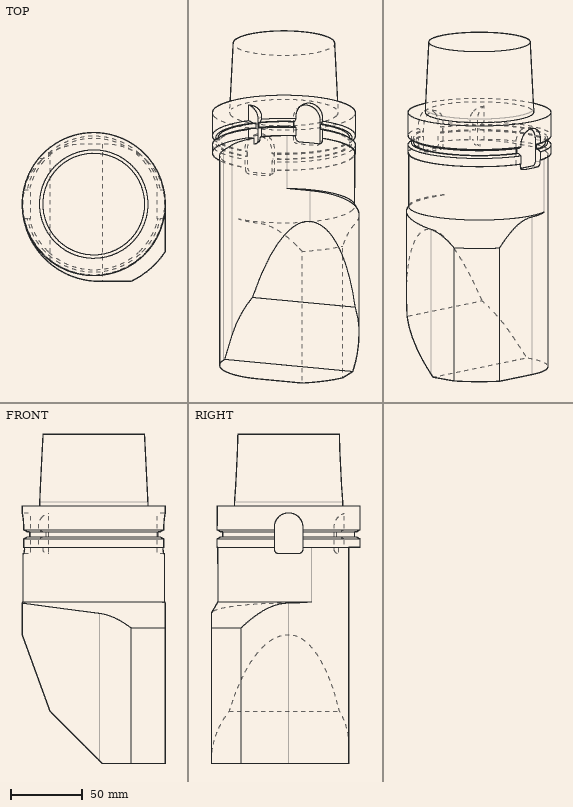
import cadquery as cq
import math


shank_length = 50.0
shank_dia = 75.75
shank_band = 2.6
taper_ratio = 1 / 10
shank_top_dia = shank_dia - taper_ratio * (shank_length - shank_band)

flange_radius = 50.0
flange_height = 29.0
groove_z = -19.9
groove_root_radius = 46.0
groove_root_height = 3.6
groove_lip = 1.4
groove_flank_angle = 30.0

pocket_width = 20.0
pocket_top_z = -4.9
pocket_bottom_z = -33.3
pocket_corner_radius = 3.0
pocket_floor_x = 44.0
notch_floor_x = 31.7
notch_near_y = 31.7

body_bottom_z = -180.0
neck_radius = 49.5
neck_bottom_z = -67.0
shoulder_angle = 30.0
body_max_radius = 60.0
body_half_width = 50.0
body_front = 54.0
body_back = 42.0

relief_start_z = -90.0
relief_ridge_z = -143.4
upper_relief_angle = 20.0
lower_relief_angle = 45.0

cut_margin = 20.0


def rise(run, angle):
    return run * math.tan(math.radians(angle))


def make_shank():
    """Straight band topped by a slender cone."""
    profile = [
        (0, 0),
        (shank_dia / 2, 0),
        (shank_dia / 2, shank_band),
        (shank_top_dia / 2, shank_length),
        (0, shank_length),
    ]
    return cq.Workplane("XZ").polyline(profile).close().revolve(360, (0, 0), (0, 1))


def make_flange():
    """Disc with a gripper groove that flares open at both edges."""
    root_top = groove_z + groove_root_height / 2
    root_bottom = groove_z - groove_root_height / 2
    lip_radius = flange_radius - groove_lip / math.tan(math.radians(groove_flank_angle))
    profile = [
        (0, 0),
        (flange_radius, 0),
        (flange_radius, root_top + groove_lip),
        (lip_radius, root_top),
        (groove_root_radius, root_top),
        (groove_root_radius, root_bottom),
        (lip_radius, root_bottom),
        (flange_radius, root_bottom - groove_lip),
        (flange_radius, -flange_height),
        (0, -flange_height),
    ]
    return cq.Workplane("XZ").polyline(profile).close().revolve(360, (0, 0), (0, 1))


def make_body_prism():
    """Plan outline: flat front and right sides, rounded left and back corners."""
    front_arc_center_x = body_front - body_half_width
    back_arc_center_x = body_half_width - body_back
    diagonal = math.sqrt(0.5)
    corner_x = math.sqrt(body_max_radius**2 - body_front**2)
    side_y = -math.sqrt(body_max_radius**2 - body_half_width**2)
    return (
        cq.Workplane("XY", origin=(0, 0, body_bottom_z))
        .moveTo(-body_half_width, 0)
        .threePointArc(
            (front_arc_center_x - body_front * diagonal, -body_front * diagonal),
            (front_arc_center_x, -body_front),
        )
        .lineTo(corner_x, -body_front)
        .threePointArc(
            (body_max_radius * diagonal, -body_max_radius * diagonal),
            (body_half_width, side_y),
        )
        .lineTo(body_half_width, 0)
        .threePointArc(
            (back_arc_center_x + body_back * diagonal, body_back * diagonal),
            (back_arc_center_x, body_back),
        )
        .lineTo(-back_arc_center_x, body_back)
        .threePointArc(
            (-back_arc_center_x - body_back * diagonal, body_back * diagonal),
            (-body_half_width, 0),
        )
        .close()
        .extrude(-flange_height - body_bottom_z)
    )


def make_neck_envelope():
    """Round neck that flares through a conical shoulder to clear the body."""
    envelope_radius = body_max_radius + cut_margin
    shoulder_bottom_z = neck_bottom_z - (envelope_radius - neck_radius) / rise(1, shoulder_angle)
    profile = [
        (0, -flange_height),
        (neck_radius, -flange_height),
        (neck_radius, neck_bottom_z),
        (envelope_radius, shoulder_bottom_z),
        (envelope_radius, body_bottom_z),
        (0, body_bottom_z),
    ]
    return cq.Workplane("XZ").polyline(profile).close().revolve(360, (0, 0), (0, 1))


def make_relief_cutter():
    """Wedge below the two sloped planes on the -X side."""
    ridge_x = -body_half_width + rise(relief_start_z - relief_ridge_z, upper_relief_angle)
    tip_z = body_bottom_z - cut_margin
    tip_x = ridge_x + rise(relief_ridge_z - tip_z, lower_relief_angle)
    outer_x = -body_half_width - cut_margin
    profile = [
        (-body_half_width, relief_start_z),
        (ridge_x, relief_ridge_z),
        (tip_x, tip_z),
        (outer_x, tip_z),
        (outer_x, relief_start_z),
    ]
    return cq.Workplane("XZ").polyline(profile).close().extrude(body_max_radius + cut_margin, both=True)


def make_pocket_cutter(floor_x, center_y):
    """Key pocket open toward -X: round top, small bottom corner radii."""
    depth = body_half_width + cut_margin - floor_x
    height = pocket_top_z - pocket_bottom_z
    straight_height = height - pocket_width / 2
    cutter = (
        cq.Workplane("XY")
        .box(depth, pocket_width, straight_height, centered=(False, True, False))
        .edges("|X and <Z")
        .fillet(pocket_corner_radius)
    )
    top_round = (
        cq.Workplane("YZ")
        .center(0, straight_height)
        .circle(pocket_width / 2)
        .extrude(depth)
    )
    cutter = cutter.union(top_round)
    return cutter.translate((-floor_x - depth, center_y, pocket_bottom_z))


body = make_body_prism().intersect(make_neck_envelope()).cut(make_relief_cutter())
result = make_shank().union(make_flange()).union(body)

side_pocket = make_pocket_cutter(pocket_floor_x, 0)
notch = make_pocket_cutter(notch_floor_x, notch_near_y + pocket_width / 2)
for cutter in (side_pocket, side_pocket.mirror("YZ"), notch):
    result = result.cut(cutter)